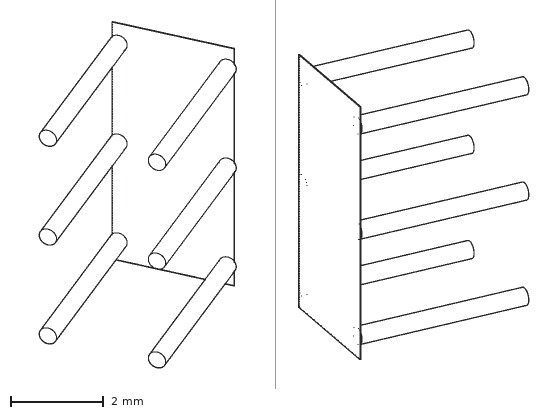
import cadquery as cq

MIL = 0.0254

plate_width = 112 * MIL
plate_height = 240 * MIL
plate_thickness = 1 * MIL

pin_diameter = 16 * MIL
pin_length = 160 * MIL
pin_pitch = 100 * MIL
pin_columns = 2
pin_rows = 3


def make_plate():
    """Plate with its front face on Y = 0 and its back face toward +Y."""
    return cq.Workplane("XZ").rect(plate_width, plate_height).extrude(-plate_thickness)


def make_pins():
    """Grid of pins centred on the plate, starting at its front face."""
    return (
        cq.Workplane("XZ")
        .rarray(pin_pitch, pin_pitch, pin_columns, pin_rows)
        .circle(pin_diameter / 2)
        .extrude(pin_length)
    )


result = make_plate().union(make_pins())